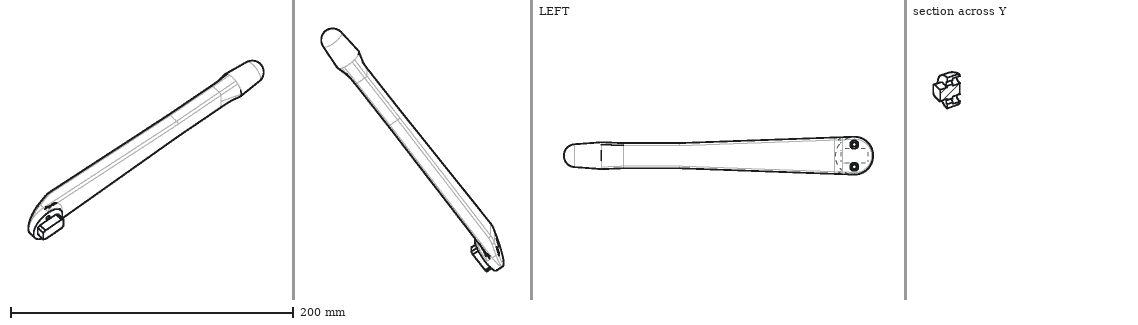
import cadquery as cq
import math

hub_radius = 13.48
hub_back_x = 9.1
blend_radius = 2.6

arm_thickness = 10.3
arm_height = 18.0
arm_end_y = 163.7
taper_end_y = 124.0
edge_fillet = 1.8

bend_y = 11.2
slope_end_x = 2.6
bend_radius = 19.0

knob_shoulder_y = 179.0
knob_shoulder_radius = 9.6
knob_dome_y = 198.2
knob_dome_radius = 8.22
knob_tip_y = 219.2 - hub_radius

key_end_x = 15.1
key_length = 18.9
key_height = 10.3
key_chamfer_y = 2.0
key_chamfer_z = 1.3

hole_offset = 8.0
hole_diameter = 3.0
counterbore_diameter = 6.0
counterbore_floor_x = 4.4

half_thickness = arm_thickness / 2
half_height = arm_height / 2
clear_x = 22.0

taper_length = math.hypot(taper_end_y, half_height)
tangent_angle = math.atan2(half_height, taper_end_y) + math.acos(hub_radius / taper_length)
tangent_y = hub_radius * math.cos(tangent_angle)
tangent_z = hub_radius * math.sin(tangent_angle)


def make_outline():
    """Arm side outline, extruded right through the thickness."""
    return (
        cq.Workplane("YZ", origin=(-clear_x, 0, 0))
        .moveTo(arm_end_y, half_height)
        .lineTo(taper_end_y, half_height)
        .lineTo(tangent_y, tangent_z)
        .threePointArc((-hub_radius, 0), (tangent_y, -tangent_z))
        .lineTo(taper_end_y, -half_height)
        .lineTo(arm_end_y, -half_height)
        .close()
        .extrude(2 * clear_x)
    )


def make_plan():
    """Region between the bent front face and the flat back face of the arm."""
    plan = (
        cq.Workplane("XY", origin=(0, 0, -clear_x))
        .moveTo(-half_thickness, arm_end_y)
        .lineTo(-half_thickness, bend_y)
        .lineTo(slope_end_x, -hub_radius)
        .lineTo(half_thickness, -hub_radius)
        .lineTo(half_thickness, arm_end_y)
        .close()
        .extrude(2 * clear_x)
    )
    bend = cq.selectors.NearestToPointSelector((-half_thickness, bend_y, 0))
    return plan.edges(bend).fillet(bend_radius)


def make_arm(outline):
    """Bent arm with its long back edges rounded."""
    arm = make_plan().intersect(outline)
    back_edges = arm.faces(">X").edges("(not >Y) and (not %CIRCLE)")
    return back_edges.fillet(edge_fillet)


def make_hub(outline):
    """Drum behind the sloped face, blended into the back of the arm on the +Y side."""
    blend_start_x = half_thickness + blend_radius
    drum_start_x = half_thickness - edge_fillet
    blend_mid = blend_radius * (1 - math.sqrt(0.5))
    drum = (
        cq.Workplane("XY")
        .moveTo(drum_start_x, 0)
        .lineTo(drum_start_x, hub_radius)
        .lineTo(half_thickness, hub_radius)
        .lineTo(half_thickness, hub_radius + blend_radius)
        .threePointArc(
            (half_thickness + blend_mid, hub_radius + blend_mid),
            (blend_start_x, hub_radius),
        )
        .lineTo(hub_back_x, hub_radius)
        .lineTo(hub_back_x, 0)
        .close()
        .revolve(360, (0, 0, 0), (1, 0, 0))
    )
    return drum.intersect(outline)


def round_front_rim(body):
    """Round the rim of the bent front face, from the knob end around the hub."""
    front_face = body.faces("<X")
    rim_start = front_face.edges(">Z").edges(">Y")
    return rim_start.fillet(edge_fillet)


def make_knob():
    """Neck lofted from the arm section to a round shoulder, then a domed grip."""
    neck_section = cq.Sketch().rect(arm_thickness, arm_height).vertices().fillet(edge_fillet)
    shoulder_place = cq.Location(cq.Vector(0, 0, arm_end_y - knob_shoulder_y))
    shoulder_section = cq.Sketch().circle(knob_shoulder_radius).moved(shoulder_place)
    neck = (
        cq.Workplane("XZ", origin=(0, arm_end_y, 0))
        .placeSketch(neck_section, shoulder_section)
        .loft()
    )
    dome_height = knob_tip_y - knob_dome_y
    dome_sphere_radius = (knob_dome_radius**2 + dome_height**2) / (2 * dome_height)
    dome_center_y = knob_tip_y - dome_sphere_radius
    dome_mid_angle = math.atan2(knob_dome_radius, knob_dome_y - dome_center_y) / 2
    dome_mid = (
        dome_sphere_radius * math.sin(dome_mid_angle),
        dome_center_y + dome_sphere_radius * math.cos(dome_mid_angle),
    )
    grip = (
        cq.Workplane("XY")
        .moveTo(0, knob_shoulder_y)
        .lineTo(knob_shoulder_radius, knob_shoulder_y)
        .lineTo(knob_dome_radius, knob_dome_y)
        .threePointArc(dome_mid, (0, knob_tip_y))
        .close()
        .revolve(360, (0, 0, 0), (0, 1, 0))
    )
    return neck.union(grip)


def make_key():
    """Rectangular drive key with chamfered corners."""
    half_y = key_length / 2
    half_z = key_height / 2
    corners = []
    for sign_y, sign_z in ((1, 1), (-1, 1), (-1, -1), (1, -1)):
        on_end = (sign_y * half_y, sign_z * (half_z - key_chamfer_z))
        on_side = (sign_y * (half_y - key_chamfer_y), sign_z * half_z)
        corners += [on_end, on_side] if sign_y == sign_z else [on_side, on_end]
    section = cq.Workplane("YZ", origin=(half_thickness, 0, 0)).polyline(corners).close()
    return section.extrude(key_end_x - half_thickness)


def make_screw_holes():
    """Through holes along X, counterbored from the sloped face."""
    centers = [(0, -hole_offset), (0, hole_offset)]
    start = cq.Workplane("YZ", origin=(-clear_x, 0, 0)).pushPoints(centers)
    through = start.circle(hole_diameter / 2).extrude(2 * clear_x)
    counterbore = start.circle(counterbore_diameter / 2).extrude(clear_x + counterbore_floor_x)
    return through.union(counterbore)


outline = make_outline()
body = round_front_rim(make_arm(outline).union(make_hub(outline)))
result = body.union(make_knob()).union(make_key()).cut(make_screw_holes())